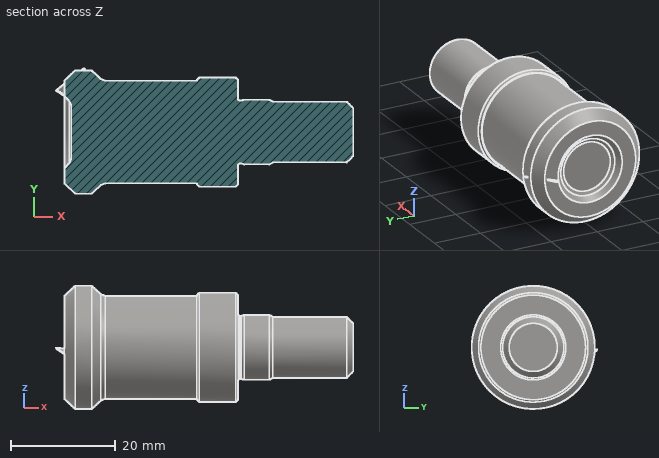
import cadquery as cq

total_length = 57.0

head_radius = 11.825
body_radius = 19.8 / 2
face_x = 1.65
head_front_x = 3.7
head_rear_x = 6.9
cone_end_x = 8.65
cone_end_radius = 10.2
body_start_x = 9.45

flange_radius = 21.0 / 2
flange_start_x = 27.0
flange_end_x = 34.95
flange_chamfer = 0.45

collar_radius = 12.5 / 2
groove_radius = 12.1 / 2
groove_start_x = 35.3
groove_end_x = 35.5
collar_start_x = 36.1
collar_end_x = 40.9

shank_radius = 11.75 / 2
shank_start_x = 41.6
shank_chamfer = 1.25

recess_rim_radius = 6.95
recess_inner_radius = 5.85
recess_floor_radius = 5.1
recess_step_depth = 0.95
recess_depth = 1.3

front_tip = cq.Vector(0, 8.0, -0.05)
side_tip = cq.Vector(5.4, 12.28, -0.4)
insert_slope = (1.9, -2.5, -1.8)
insert_width = 2.15
insert_front_setback = 0.7
insert_thickness = 0.2
insert_relief_angle = 40


def turned_body():
    shank_chamfer_x = total_length - shank_chamfer
    flange_edge_radius = flange_radius - flange_chamfer
    profile = [
        (face_x, 0),
        (face_x, body_radius),
        (head_front_x, head_radius),
        (head_rear_x, head_radius),
        (cone_end_x, cone_end_radius),
        (body_start_x, body_radius),
        (flange_start_x, body_radius),
        (flange_start_x, flange_edge_radius),
        (flange_start_x + flange_chamfer, flange_radius),
        (flange_end_x - flange_chamfer, flange_radius),
        (flange_end_x, flange_edge_radius),
        (flange_end_x, collar_radius),
        (groove_start_x, groove_radius),
        (groove_end_x, groove_radius),
        (collar_start_x, collar_radius),
        (collar_end_x, collar_radius),
        (shank_start_x, shank_radius),
        (shank_chamfer_x, shank_radius),
        (total_length, shank_radius - shank_chamfer),
        (total_length, 0),
    ]
    return revolve_about_x(profile)


def face_recess():
    profile = [
        (face_x, 0),
        (face_x, recess_rim_radius),
        (face_x + recess_step_depth, recess_inner_radius),
        (face_x + recess_depth, recess_floor_radius),
        (face_x + recess_depth, 0),
    ]
    return revolve_about_x(profile)


def revolve_about_x(profile):
    return cq.Workplane("XY").polyline(profile).close().revolve(360, (0, 0, 0), (1, 0, 0))


def cutting_insert():
    edge = side_tip - front_tip
    top_normal = cq.Vector(*insert_slope).cross(edge)
    top_plane = cq.Plane(origin=front_tip, xDir=edge, normal=top_normal)
    outline = [
        (0, 0),
        (insert_front_setback, -insert_width),
        (edge.Length, -insert_width),
        (edge.Length, 0),
    ]
    return (
        cq.Workplane(top_plane)
        .polyline(outline)
        .close()
        .extrude(-insert_thickness, taper=insert_relief_angle)
    )


result = turned_body().cut(face_recess()).union(cutting_insert())